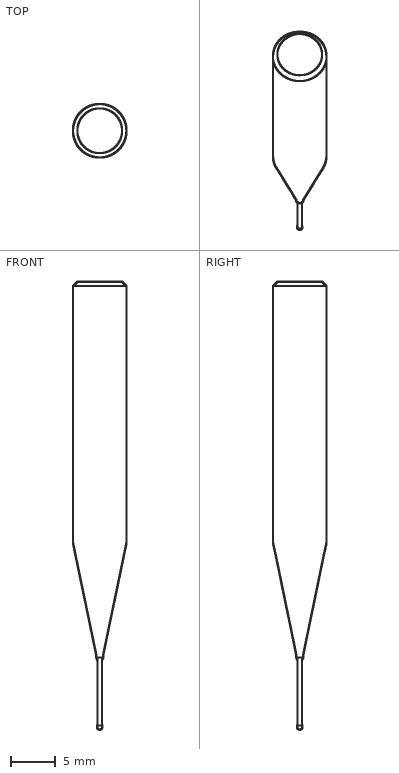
import cadquery as cq
import math

total_length = 50.0
shank_start = 20.85
cone_start = 8.35
collar_start = 8.05
neck_top = 7.75
cutter_length = 0.5
cutter_shoulder = 0.4

shank_radius = 3.0
collar_radius = 0.4
neck_radius = 0.275
ball_radius = 0.3

shank_chamfer = 0.5


def make_holder():
    """Shank, long cone, collar and slender neck with a hollow flare, turned as one body."""
    profile = (
        cq.Workplane("XZ")
        .moveTo(0, cutter_length)
        .lineTo(neck_radius, cutter_length)
        .lineTo(neck_radius, neck_top)
        .tangentArcPoint((collar_radius, collar_start), relative=False)
        .lineTo(collar_radius, cone_start)
        .lineTo(shank_radius, shank_start)
        .lineTo(shank_radius, total_length - shank_chamfer)
        .lineTo(shank_radius - shank_chamfer, total_length)
        .lineTo(0, total_length)
        .close()
    )
    return profile.revolve(360, (0, 0), (0, 1))


def make_cutter():
    """Ball-nosed cutting tip, with a short shoulder tapering up to the slimmer neck."""
    arc_middle_offset = ball_radius * math.sqrt(0.5)
    profile = (
        cq.Workplane("XZ")
        .moveTo(0, 0)
        .threePointArc(
            (arc_middle_offset, ball_radius - arc_middle_offset),
            (ball_radius, ball_radius),
        )
        .lineTo(ball_radius, cutter_shoulder)
        .lineTo(neck_radius, cutter_length)
        .lineTo(0, cutter_length)
        .close()
    )
    return profile.revolve(360, (0, 0), (0, 1))


holder = make_holder()
cutter = make_cutter()

result = cq.Compound.makeCompound([holder.val(), cutter.val()])